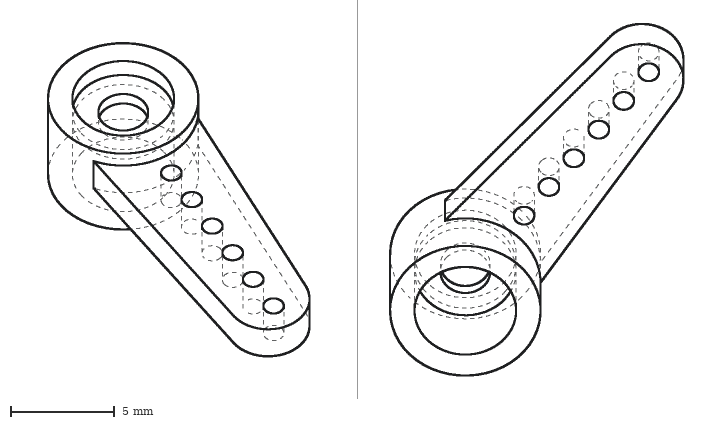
import cadquery as cq
import math

hub_radius = 3.63
hub_height = 5.4
recess_diameter = 4.9
recess_depth = 1.0
screw_hole_diameter = 2.4
web_thickness = 0.67
socket_diameter = 4.9
socket_depth = hub_height - recess_depth - web_thickness

overall_length = 19.84
arm_bottom = 2.62
arm_thickness = 1.92
tip_radius = 2.0
tip_center = overall_length - hub_radius - tip_radius
arm_root_radius = 3.04

hole_count = 6
hole_diameter = 1.0
hole_pitch = 2.0
first_hole = 4.72


def make_hub():
    return cq.Workplane("XY").circle(hub_radius).extrude(hub_height)


def make_arm():
    """Straight sides tangent to both the root circle and the round tip."""
    taper_sin = (arm_root_radius - tip_radius) / tip_center
    taper_cos = math.sqrt(1 - taper_sin**2)
    root_x = arm_root_radius * taper_sin
    root_y = arm_root_radius * taper_cos
    tip_x = tip_center + tip_radius * taper_sin
    tip_y = tip_radius * taper_cos
    return (
        cq.Workplane("XY")
        .workplane(offset=arm_bottom)
        .moveTo(root_x, -root_y)
        .lineTo(tip_x, -tip_y)
        .threePointArc((tip_center + tip_radius, 0), (tip_x, tip_y))
        .lineTo(root_x, root_y)
        .close()
        .extrude(arm_thickness)
    )


def make_hub_bores():
    """Screw recess above, shaft socket below, screw hole through the web."""
    screw_hole = cq.Workplane("XY").circle(screw_hole_diameter / 2).extrude(hub_height)
    socket = cq.Workplane("XY").circle(socket_diameter / 2).extrude(socket_depth)
    recess = (
        cq.Workplane("XY")
        .workplane(offset=hub_height - recess_depth)
        .circle(recess_diameter / 2)
        .extrude(recess_depth)
    )
    return screw_hole.union(socket).union(recess)


def make_linkage_holes():
    hole_centers = [(first_hole + i * hole_pitch, 0) for i in range(hole_count)]
    return (
        cq.Workplane("XY")
        .workplane(offset=arm_bottom)
        .pushPoints(hole_centers)
        .circle(hole_diameter / 2)
        .extrude(arm_thickness)
    )


result = make_hub().union(make_arm()).cut(make_hub_bores()).cut(make_linkage_holes())